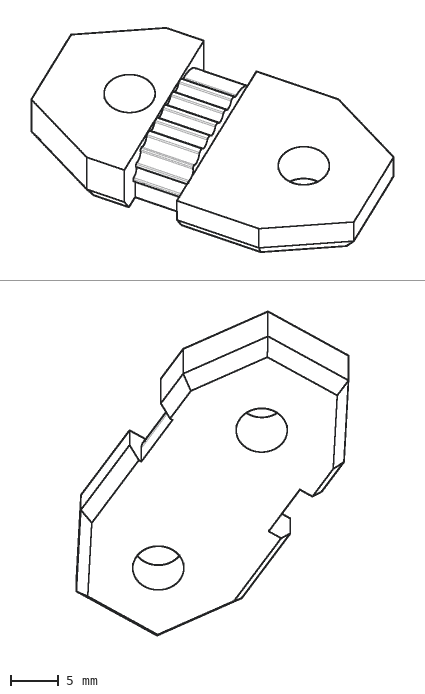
import cadquery as cq
import math

length = 37.1
width = 20.0
thick_height = 7.0
thin_height = 5.0
end_face_width = 10.0
corner_angle = 30.0
bevel_height = 2.0
bevel_angle = 30.0
strip_start = -5.55
strip_length = 6.05
hole_diameter = 5.35
hole_spacing = 20.05
thick_hole_x = -9.55

tooth_pitch = 2.0
straight_grooves = 5
first_groove_y = 5.0
groove_radius = 0.685
groove_center_height = 0.1
tip_round = 0.15
bend_y = -3.3
bend_z = 2.35
tip_radius = 4.55
bend_step = 22.5
bend_grooves = 4
strip_back_y = 8.55

strip_end = strip_start + strip_length
groove_path_radius = tip_radius + groove_center_height
tip_z = bend_z + tip_radius
groove_path_z = bend_z + groove_path_radius
root_z = groove_path_z - groove_radius
strip_front_y = bend_y - groove_path_radius + groove_radius
back_radius = strip_back_y - first_groove_y
tolerance = 0.005


def block(x_start, x_end, height):
    """Full-width block standing on the bottom plane."""
    return cq.Workplane("XY").box(
        x_end - x_start, width, height, centered=(False, True, False)
    ).translate((x_start, 0, 0))


def make_plates():
    corner_y = end_face_width / 2
    corner_x = length / 2 - (width / 2 - corner_y) / math.tan(math.radians(corner_angle))
    outline = [
        (-length / 2, -corner_y),
        (-corner_x, -width / 2),
        (corner_x, -width / 2),
        (length / 2, -corner_y),
        (length / 2, corner_y),
        (corner_x, width / 2),
        (-corner_x, width / 2),
        (-length / 2, corner_y),
    ]
    rim = cq.Workplane("XY", origin=(0, 0, bevel_height)).polyline(outline).close()
    upper = rim.extrude(thick_height - bevel_height)
    rim = cq.Workplane("XY", origin=(0, 0, bevel_height)).polyline(outline).close()
    octagon = upper.union(rim.extrude(-bevel_height, taper=bevel_angle))
    thick_plate = octagon.intersect(block(-length / 2, strip_start, thick_height))
    thin_plate = octagon.intersect(block(strip_end, length / 2, thin_height))
    return thick_plate.union(thin_plate)


def groove_centers():
    """Y, Z centers along the straight run, then around the bend."""
    centers = [(first_groove_y - i * tooth_pitch, groove_path_z) for i in range(straight_grooves)]
    for i in range(1, bend_grooves + 1):
        angle = math.radians(i * bend_step)
        centers.append((
            bend_y - groove_path_radius * math.sin(angle),
            bend_z + groove_path_radius * math.cos(angle),
        ))
    return centers


def is_tooth_tip(edge):
    """True for an edge where a groove meets the tip surface of a tooth."""
    center = edge.Center()
    on_straight = center.y > bend_y + tolerance and abs(center.z - tip_z) < tolerance
    bend_distance = math.hypot(center.y - bend_y, center.z - bend_z)
    in_bend = center.y < bend_y - tolerance and center.z > bend_z
    on_bend = in_bend and abs(bend_distance - tip_radius) < tolerance
    return on_straight or on_bend


def make_strip():
    diagonal = math.sqrt(0.5)
    profile = (
        cq.Workplane("YZ", origin=(strip_start, 0, 0))
        .moveTo(strip_back_y, 0)
        .lineTo(strip_back_y, root_z - back_radius)
        .threePointArc(
            (first_groove_y + back_radius * diagonal, root_z - back_radius * (1 - diagonal)),
            (first_groove_y, root_z),
        )
        .lineTo(first_groove_y, tip_z)
        .lineTo(bend_y, tip_z)
        .threePointArc(
            (bend_y - tip_radius * diagonal, bend_z + tip_radius * diagonal),
            (bend_y - tip_radius, bend_z),
        )
        .lineTo(strip_front_y, bend_z)
        .lineTo(strip_front_y, 0)
        .close()
    )
    grooves = (
        cq.Workplane("YZ", origin=(strip_start, 0, 0))
        .pushPoints(groove_centers())
        .circle(groove_radius)
        .extrude(strip_length)
    )
    strip = profile.extrude(strip_length).cut(grooves)
    tip_edges = [edge for edge in strip.edges("|X").vals() if is_tooth_tip(edge)]
    return strip.newObject(tip_edges).fillet(tip_round)


def make_holes():
    return (
        cq.Workplane("XY")
        .pushPoints([(thick_hole_x, 0), (thick_hole_x + hole_spacing, 0)])
        .circle(hole_diameter / 2)
        .extrude(thick_height)
    )


result = make_plates().union(make_strip()).cut(make_holes())